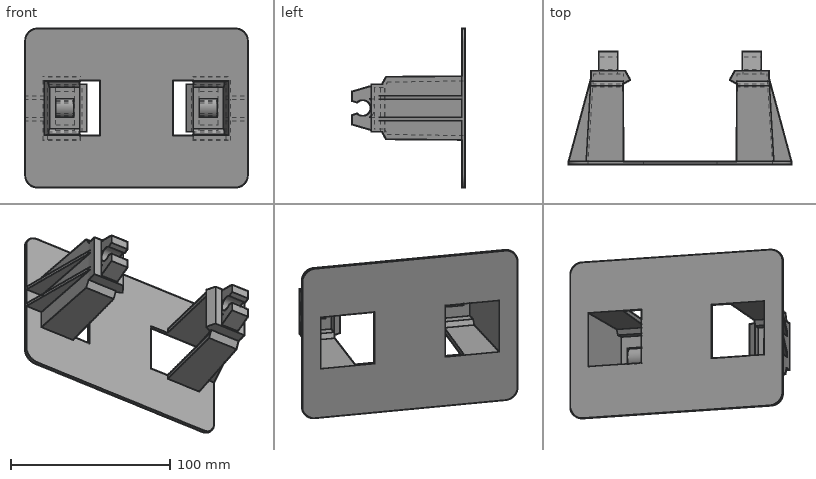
import cadquery as cq

PLATE_WIDTH = 140.0
PLATE_HEIGHT = 100.0
PLATE_THICKNESS = 2.0
PLATE_CORNER_RADIUS = 8.0

WINDOW_OUTER_X = 58.0
WINDOW_INNER_X = 23.0
WINDOW_HALF_HEIGHT = 17.2

POST_BASE_OUTER_X = 59.0
POST_BASE_INNER_X = 35.3
POST_BASE_HALF_HEIGHT = 20.1
HEAD_OUTER_X = 56.0
HEAD_INNER_X = 35.7
HEAD_HALF_HEIGHT = 15.0
HEAD_START_Y = 52.2
HEAD_END_Y = 59.0
SHOULDER_Y = 49.6
SHOULDER_HALF_HEIGHT = 19.7

FLOOR_THICKNESS = 2.0
FLOOR_Y = HEAD_END_Y - FLOOR_THICKNESS
FLOOR_OUTER_X = 54.5
CAVITY_SHOULDER_HALF_HEIGHT = 16.4
CAVITY_HEAD_HALF_HEIGHT = 13.1
SHOULDER_SLOPE = (HEAD_START_Y - SHOULDER_Y) / (SHOULDER_HALF_HEIGHT - HEAD_HALF_HEIGHT)
CAVITY_SHOULDER_END_Y = 50.7
CAVITY_SHOULDER_Y = CAVITY_SHOULDER_END_Y - SHOULDER_SLOPE * (
    CAVITY_SHOULDER_HALF_HEIGHT - CAVITY_HEAD_HALF_HEIGHT
)

NOSE_BACK_X = 34.4
NOSE_TIP_X = 31.1
NOSE_TIP_Y = 53.1
NOSE_FRONT_Y = 50.6

RIB_THICKNESS = 2.2
RIB_OFFSET_Z = 6.75
RIB_TOP_Y = 53.9
RIB_BASE_X = PLATE_WIDTH / 2

CLIP_WIDTH = 12.0
CLIP_CENTER_X = 45.0
CLIP_END_Y = 71.0
CLIP_BASE_HALF_HEIGHT = 13.9
CLIP_END_HALF_HEIGHT = 10.4
BORE_RADIUS = 4.85
BORE_CENTER_Y = 64.25
THROAT_Y = 67.65
THROAT_HALF_HEIGHT = 3.3
MOUTH_HALF_HEIGHT = 4.4

POCKET_WIDTH = 11.1
POCKET_HEIGHT = 11.5
BARREL_RADIUS = BORE_CENTER_Y - FLOOR_Y


def prism_along_x(points, x_start, x_end):
    """Extrude a (Y, Z) outline from x_start to x_end."""
    return cq.Workplane("YZ").workplane(offset=x_start).polyline(points).close().extrude(x_end - x_start)


def prism_along_z(points, height, center_z=0.0):
    """Extrude an (X, Y) outline over a height centred on center_z."""
    bottom_z = center_z - height / 2
    return cq.Workplane("XY").workplane(offset=bottom_z).polyline(points).close().extrude(height)


def mirrored_outline(upper_half):
    """Close a (Y, Z) outline that is symmetric about Z = 0."""
    lower_half = [(y, -z) for y, z in reversed(upper_half)]
    return upper_half + lower_half


def make_plate():
    blank = cq.Workplane("XY").box(
        PLATE_WIDTH, PLATE_THICKNESS, PLATE_HEIGHT, centered=(True, False, True)
    )
    return blank.edges("|Y").fillet(PLATE_CORNER_RADIUS)


def make_post_body():
    side_outline = mirrored_outline([
        (0, POST_BASE_HALF_HEIGHT),
        (SHOULDER_Y, SHOULDER_HALF_HEIGHT),
        (HEAD_START_Y, HEAD_HALF_HEIGHT),
        (HEAD_END_Y, HEAD_HALF_HEIGHT),
    ])
    plan_outline = [
        (-POST_BASE_OUTER_X, 0),
        (-POST_BASE_INNER_X, 0),
        (-HEAD_INNER_X, HEAD_END_Y),
        (-HEAD_OUTER_X, HEAD_END_Y),
        (-HEAD_OUTER_X, HEAD_START_Y),
    ]
    side_prism = prism_along_x(side_outline, -POST_BASE_OUTER_X, -POST_BASE_INNER_X)
    return side_prism.intersect(prism_along_z(plan_outline, 2 * POST_BASE_HALF_HEIGHT))


def make_nose():
    outline = [
        (-HEAD_INNER_X, HEAD_END_Y),
        (-NOSE_BACK_X, HEAD_END_Y),
        (-NOSE_TIP_X, NOSE_TIP_Y),
        (-HEAD_INNER_X, NOSE_FRONT_Y),
    ]
    return prism_along_z(outline, 2 * HEAD_HALF_HEIGHT)


def make_rib(center_z):
    outline = [
        (-RIB_BASE_X, PLATE_THICKNESS),
        (-HEAD_OUTER_X, PLATE_THICKNESS),
        (-HEAD_OUTER_X, RIB_TOP_Y),
    ]
    return prism_along_z(outline, RIB_THICKNESS, center_z)


def make_clip_cylinder(radius, width):
    """Cylinder along X on the clip bore axis."""
    return (
        cq.Workplane("YZ")
        .workplane(offset=-CLIP_CENTER_X - width / 2)
        .center(BORE_CENTER_Y, 0)
        .circle(radius)
        .extrude(width)
    )


def make_clip():
    x_start = -CLIP_CENTER_X - CLIP_WIDTH / 2
    x_end = x_start + CLIP_WIDTH
    body = prism_along_x(
        mirrored_outline([(HEAD_END_Y, CLIP_BASE_HALF_HEIGHT), (CLIP_END_Y, CLIP_END_HALF_HEIGHT)]),
        x_start,
        x_end,
    )
    mouth = prism_along_x(
        mirrored_outline([
            (BORE_CENTER_Y, THROAT_HALF_HEIGHT),
            (THROAT_Y, THROAT_HALF_HEIGHT),
            (CLIP_END_Y, MOUTH_HALF_HEIGHT),
        ]),
        x_start,
        x_end,
    )
    return body.cut(mouth).cut(make_clip_cylinder(BORE_RADIUS, CLIP_WIDTH))


def make_cavity():
    side_outline = mirrored_outline([
        (0, WINDOW_HALF_HEIGHT),
        (CAVITY_SHOULDER_Y, CAVITY_SHOULDER_HALF_HEIGHT),
        (CAVITY_SHOULDER_END_Y, CAVITY_HEAD_HALF_HEIGHT),
        (FLOOR_Y, CAVITY_HEAD_HALF_HEIGHT),
    ])
    plan_outline = [
        (-WINDOW_OUTER_X, 0),
        (-WINDOW_INNER_X, 0),
        (-WINDOW_INNER_X, PLATE_THICKNESS),
        (-HEAD_INNER_X, NOSE_FRONT_Y),
        (-HEAD_INNER_X, FLOOR_Y),
        (-FLOOR_OUTER_X, FLOOR_Y),
    ]
    side_prism = prism_along_x(side_outline, -WINDOW_OUTER_X, -WINDOW_INNER_X)
    return side_prism.intersect(prism_along_z(plan_outline, 2 * WINDOW_HALF_HEIGHT))


def make_pocket():
    depth = BORE_CENTER_Y - FLOOR_Y
    box = cq.Workplane("XY").box(
        POCKET_WIDTH, depth, POCKET_HEIGHT, centered=(True, False, True)
    ).translate((-CLIP_CENTER_X, FLOOR_Y, 0))
    return box.cut(make_clip_cylinder(BARREL_RADIUS, CLIP_WIDTH))


def make_post():
    post = make_post_body().union(make_nose()).union(make_clip())
    for center_z in (-RIB_OFFSET_Z, RIB_OFFSET_Z):
        post = post.union(make_rib(center_z))
    return post


left_post = make_post()
left_cavity = make_cavity()
left_pocket = make_pocket()

result = make_plate()
result = result.union(left_post).union(left_post.mirror("YZ"))
for cutter in (left_cavity, left_pocket):
    result = result.cut(cutter).cut(cutter.mirror("YZ"))